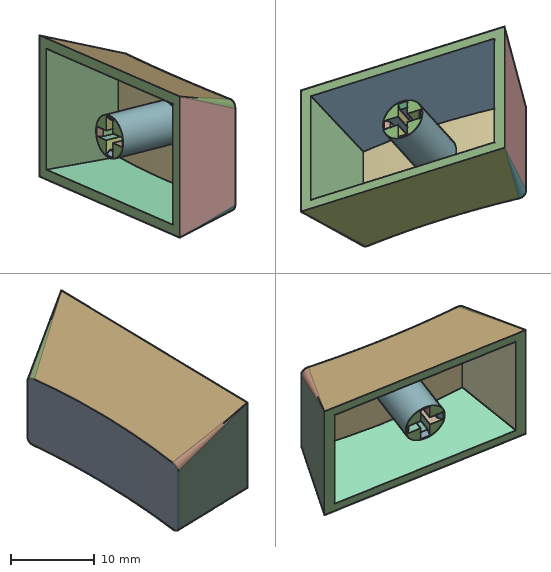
import cadquery as cq
import math

WIDTH = 27.75
HEIGHT = 18.0
DEPTH = 10.52

FACE_WIDTH = 22.45
FACE_TOP = 5.4
FACE_BOTTOM = -8.7
FACE_CORNER_RADIUS = 0.97
RIM_CORNER_RADIUS = 0.003
DISH_RADIUS = 94.35
FACE_EDGE_RADIUS = 0.1

RIM_WALL_SIDE = 1.4
RIM_WALL_TOP = 1.33
RIM_WALL_BOTTOM = 1.28
FLOOR_WIDTH = 20.48
FLOOR_TOP = 4.5
FLOOR_BOTTOM = -7.4
FLOOR_THICKNESS = 1.4
FLOOR_EDGE_Y = DEPTH - FLOOR_THICKNESS

STEM_DIAMETER = 5.4
STEM_CENTRE_Z = -0.042
SOCKET_LENGTH = 3.9
SOCKET_LEAD_IN = 0.53
UPRIGHT_SLOT_WIDTH = 1.28
LEVEL_SLOT_WIDTH = 1.22


def section(y, width, bottom, top, corner_radius=0.0):
    """Rectangular outline across the key at depth y; zero radius leaves sharp corners."""
    outline = cq.Sketch().rect(width, top - bottom)
    if corner_radius > 0:
        outline = outline.vertices().fillet(corner_radius)
    plane = cq.Plane(origin=(0, y, (bottom + top) / 2), xDir=(1, 0, 0), normal=(0, -1, 0))
    return outline.moved(plane.location)


def tapered_block(near, far):
    """Solid with straight walls between two sections."""
    return cq.Workplane().placeSketch(near, far).loft(ruled=True)


def dish_cylinder(edge_y, width):
    """Cylinder along Z whose surface passes depth edge_y at both ends of the given width."""
    axis_y = edge_y + math.sqrt(DISH_RADIUS**2 - (width / 2) ** 2)
    return cq.Workplane().center(0, axis_y).circle(DISH_RADIUS).extrude(HEIGHT, both=True)


def outer_block():
    """Tapered body with the dished, softly edged key face."""
    rim = section(0, WIDTH, -HEIGHT / 2, HEIGHT / 2, RIM_CORNER_RADIUS)
    face = section(DEPTH, FACE_WIDTH, FACE_BOTTOM, FACE_TOP, FACE_CORNER_RADIUS)
    block = tapered_block(rim, face).cut(dish_cylinder(DEPTH, FACE_WIDTH))
    return block.faces(">Y").edges().fillet(FACE_EDGE_RADIUS)


def cavity():
    """Hollow of the key, closed by a floor curved like the key face."""
    rim_bottom = RIM_WALL_BOTTOM - HEIGHT / 2
    rim_top = HEIGHT / 2 - RIM_WALL_TOP
    rim = section(0, WIDTH - 2 * RIM_WALL_SIDE, rim_bottom, rim_top)
    floor = section(FLOOR_EDGE_Y, FLOOR_WIDTH, FLOOR_BOTTOM, FLOOR_TOP)
    return tapered_block(rim, floor).cut(dish_cylinder(FLOOR_EDGE_Y, FLOOR_WIDTH))


def stem():
    """Round post reaching from the rim plane to the edge of the cavity floor."""
    return cq.Workplane("XZ").circle(STEM_DIAMETER / 2).extrude(-FLOOR_EDGE_Y)


def socket_slot(width):
    """Slot along X through the stem to the cavity floor, its mouth flared 45 degrees at both ends."""
    half_length = SOCKET_LENGTH / 2
    half_mouth = half_length + SOCKET_LEAD_IN
    right_end = [(half_mouth, 0), (half_length, SOCKET_LEAD_IN), (half_length, FLOOR_EDGE_Y)]
    left_end = [(-x, y) for x, y in reversed(right_end)]
    return cq.Workplane("XY").polyline(right_end + left_end).close().extrude(width / 2, both=True)


def socketed_stem():
    """Stem with the cross-shaped socket cut along its whole length."""
    level_slot = socket_slot(LEVEL_SLOT_WIDTH)
    upright_slot = socket_slot(UPRIGHT_SLOT_WIDTH).rotate((0, 0, 0), (0, 1, 0), 90)
    return stem().cut(level_slot).cut(upright_slot).translate((0, 0, STEM_CENTRE_Z))


result = outer_block().cut(cavity()).union(socketed_stem()).solids()